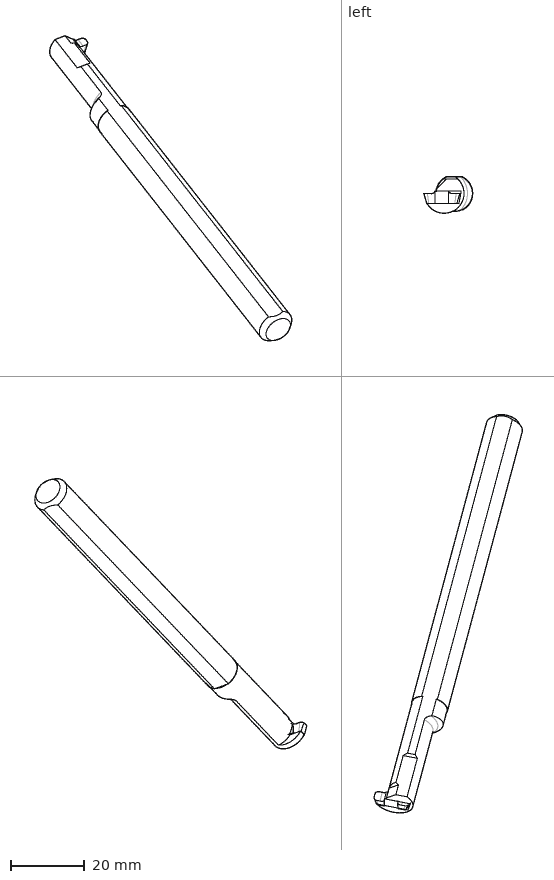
import cadquery as cq
import math

LENGTH = 125.4
FACE_X = 0.56

SHANK_RADIUS = 5.0
FLAT_HEIGHT = 4.5
LOWER_FLAT_X = 32.4
END_CHAMFER_LENGTH = 1.5
END_CHAMFER_DEPTH = 1.3

NECK_RADIUS = 4.9
SWING_RADIUS = 5.4
SWING_Y = 2.8
NECK_END_X = 25.2
SHOULDER_ANGLE = math.radians(60)
SHOULDER_BLEND_RADIUS = 1.9
SHOULDER_HEIGHT = 2.5
JAW_BACK_X = 2.5

HEAD_TOP = 3.9
RELIEF_END_X = 13.2
BEVEL_Y = 2.1
BEVEL_END_X = 3.8

INSERT_WIDTH = 2.9
INSERT_TOP = 0.6
INSERT_BOTTOM = -2.8
INSERT_TIP_Y = 8.3
INSERT_CENTRE_Y = 3.4
INSERT_CLEARANCE = 0.82
RAKE_END_Y = 6.4
CHIP_FORMER_Y = 5.6
CHIP_FORMER_Z = 0.1
BLOCK_HALF_LENGTH = 1.9
TIP_CORNER_RADIUS = 1.0
TIP_SIDE_RELIEF = 0.4

POCKET_TOP_END_Y = -1.9
POCKET_BOTTOM_END_Y = -1.3

BIG = 2 * SHANK_RADIUS


def bar(radius, start, end, y=0.0):
    """Round bar along X."""
    return cq.Workplane("YZ", origin=(start, y, 0)).circle(radius).extrude(end - start)


def along_x(points, start, end):
    """Prism along X with an outline given in (y, z)."""
    return cq.Workplane("YZ", origin=(start, 0, 0)).polyline(points).close().extrude(end - start)


def ramped_cut(end):
    """Cutter above z = 0 from the front to `end`, closing with a 45 degree ramp."""
    outline = [(-BIG, 0), (end, 0), (end + BIG, BIG), (-BIG, BIG)]
    return cq.Workplane("XZ").polyline(outline).close().extrude(BIG, both=True)


def make_shank():
    shank = (
        cq.Workplane("XY")
        .moveTo(LOWER_FLAT_X, 0)
        .lineTo(LOWER_FLAT_X, SHANK_RADIUS)
        .lineTo(LENGTH - END_CHAMFER_LENGTH, SHANK_RADIUS)
        .lineTo(LENGTH, SHANK_RADIUS - END_CHAMFER_DEPTH)
        .lineTo(LENGTH, 0)
        .close()
        .revolve(360, (0, 0, 0), (1, 0, 0))
    )
    between_flats = cq.Workplane("XY").box(2 * LENGTH, 2 * BIG, 2 * FLAT_HEIGHT)
    return shank.intersect(between_flats)


def make_swing_envelope():
    """Trimming cylinder that flares through a concave blend into a conical shoulder."""
    def blend_point(angle):
        x = NECK_END_X + SHOULDER_BLEND_RADIUS * math.sin(angle)
        radius = SWING_RADIUS + SHOULDER_BLEND_RADIUS * (1 - math.cos(angle))
        return (x, SWING_Y + radius)

    blend_end_x, blend_end_y = blend_point(SHOULDER_ANGLE)
    top_y = SWING_Y + SWING_RADIUS + SHOULDER_HEIGHT
    top_x = blend_end_x + (top_y - blend_end_y) / math.tan(SHOULDER_ANGLE)
    return (
        cq.Workplane("XY")
        .moveTo(FACE_X, SWING_Y)
        .lineTo(FACE_X, SWING_Y + SWING_RADIUS)
        .lineTo(NECK_END_X, SWING_Y + SWING_RADIUS)
        .threePointArc(blend_point(SHOULDER_ANGLE / 2), (blend_end_x, blend_end_y))
        .lineTo(top_x, top_y)
        .lineTo(LOWER_FLAT_X, top_y)
        .lineTo(LOWER_FLAT_X, SWING_Y)
        .close()
        .revolve(360, (0, SWING_Y, 0), (1, SWING_Y, 0))
    )


def make_neck():
    neck = bar(NECK_RADIUS, FACE_X, LOWER_FLAT_X)
    swing = make_swing_envelope()
    neck = neck.intersect(swing)
    above_flat = cq.Workplane("XY", origin=(0, 0, FLAT_HEIGHT)).rect(2 * LENGTH, 2 * BIG).extrude(BIG)
    return neck.cut(above_flat)


def make_jaw():
    """Lower jaw that carries the insert out to the swing circle."""
    jaw = bar(SWING_RADIUS, FACE_X, JAW_BACK_X, SWING_Y)
    above_floor = cq.Workplane("XY", origin=(0, 0, INSERT_BOTTOM)).rect(2 * BIG, 4 * BIG).extrude(BIG)
    return jaw.cut(above_floor)


def make_pocket():
    outline = [
        (BIG, INSERT_BOTTOM),
        (POCKET_BOTTOM_END_Y, INSERT_BOTTOM),
        (POCKET_TOP_END_Y, INSERT_TOP),
        (BIG, INSERT_TOP),
    ]
    return along_x(outline, 0, INSERT_WIDTH)


def make_holder():
    holder = make_shank().union(make_neck()).union(make_jaw())
    relief = ramped_cut(RELIEF_END_X).translate((0, 0, HEAD_TOP))
    bevel = (
        ramped_cut(BEVEL_END_X)
        .rotate((0, 0, 0), (1, 0, 0), -45)
        .translate((0, BEVEL_Y, HEAD_TOP))
    )
    return holder.cut(relief).cut(bevel).cut(make_pocket())


def make_insert_tip():
    """Outer (+Y) end of the insert: rounded in plan, narrowing downwards."""
    side_slope = TIP_SIDE_RELIEF / -INSERT_BOTTOM
    margin = side_slope * INSERT_TOP
    reach = INSERT_TIP_Y - INSERT_CENTRE_Y + margin
    plan = (
        cq.Workplane("XY", origin=(INSERT_WIDTH / 2, INSERT_CENTRE_Y, INSERT_TOP))
        .rect(INSERT_WIDTH + 2 * margin, 2 * reach)
        .extrude(INSERT_BOTTOM - INSERT_TOP, taper=math.degrees(math.atan(side_slope)))
        .edges("not(#Z)")
        .fillet(TIP_CORNER_RADIUS)
    )
    block_y = INSERT_CENTRE_Y + BLOCK_HALF_LENGTH
    profile = (
        cq.Workplane("YZ")
        .moveTo(block_y, INSERT_BOTTOM)
        .lineTo(INSERT_TIP_Y - INSERT_CLEARANCE, INSERT_BOTTOM)
        .lineTo(INSERT_TIP_Y, 0)
        .lineTo(RAKE_END_Y, 0)
        .threePointArc((CHIP_FORMER_Y, CHIP_FORMER_Z), (block_y, INSERT_TOP))
        .close()
        .extrude(INSERT_WIDTH)
    )
    return plan.intersect(profile)


def make_insert():
    near_y = INSERT_CENTRE_Y - BLOCK_HALF_LENGTH
    far_y = INSERT_CENTRE_Y + BLOCK_HALF_LENGTH
    outline = [(near_y, INSERT_BOTTOM), (far_y, INSERT_BOTTOM), (far_y, INSERT_TOP), (near_y, INSERT_TOP)]
    insert = along_x(outline, FACE_X, INSERT_WIDTH)
    centre_x = INSERT_WIDTH / 2
    tip = make_insert_tip()
    for angle in (0, 180):
        turned = tip.rotate((centre_x, INSERT_CENTRE_Y, 0), (centre_x, INSERT_CENTRE_Y, 1), angle)
        insert = insert.union(turned)
    return insert


holder = make_holder()
insert = make_insert()
result = cq.Compound.makeCompound([holder.solids().val(), insert.solids().val()])